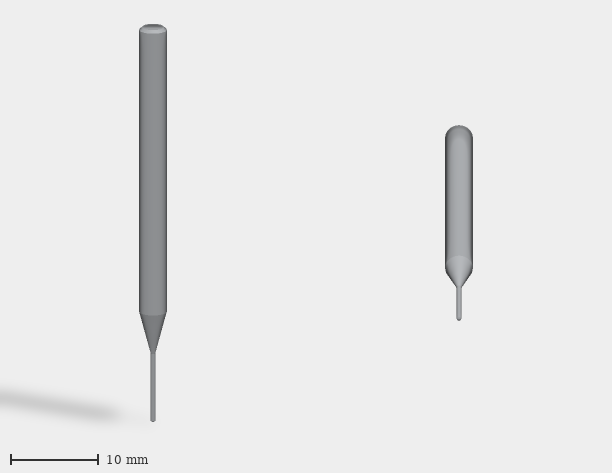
import cadquery as cq

overall_length = 47.1
shank_diameter = 3.15
shank_chamfer = 0.35
taper_top_z = 13.2
taper_bottom_z = 8.2
neck_diameter = 0.5
cutter_diameter = 0.5
cutter_top_z = 2.7
point_height = 0.15

PROFILE_PLANE = cq.Plane(origin=(0, 0, 0), xDir=(0, -1, 0), normal=(-1, 0, 0))


def revolve_about_axis(profile):
    """Turn a closed (radius, height) outline about the Z axis."""
    outline = cq.Workplane(PROFILE_PLANE).polyline(profile).close()
    return outline.revolve(360, (0, 0), (0, 1))


def make_holder():
    """Chamfered shank, taper and slim neck, turned as one body."""
    shank_radius = shank_diameter / 2
    neck_radius = neck_diameter / 2
    return revolve_about_axis([
        (0, cutter_top_z),
        (neck_radius, cutter_top_z),
        (neck_radius, taper_bottom_z),
        (shank_radius, taper_top_z),
        (shank_radius, overall_length - shank_chamfer),
        (shank_radius - shank_chamfer, overall_length),
        (0, overall_length),
    ])


def make_cutter():
    """Cylindrical cutting length with a conical drill point."""
    cutter_radius = cutter_diameter / 2
    return revolve_about_axis([
        (0, 0),
        (cutter_radius, point_height),
        (cutter_radius, cutter_top_z),
        (0, cutter_top_z),
    ])


holder = make_holder()
cutter = make_cutter()

result = cq.Compound.makeCompound([holder.val(), cutter.val()])